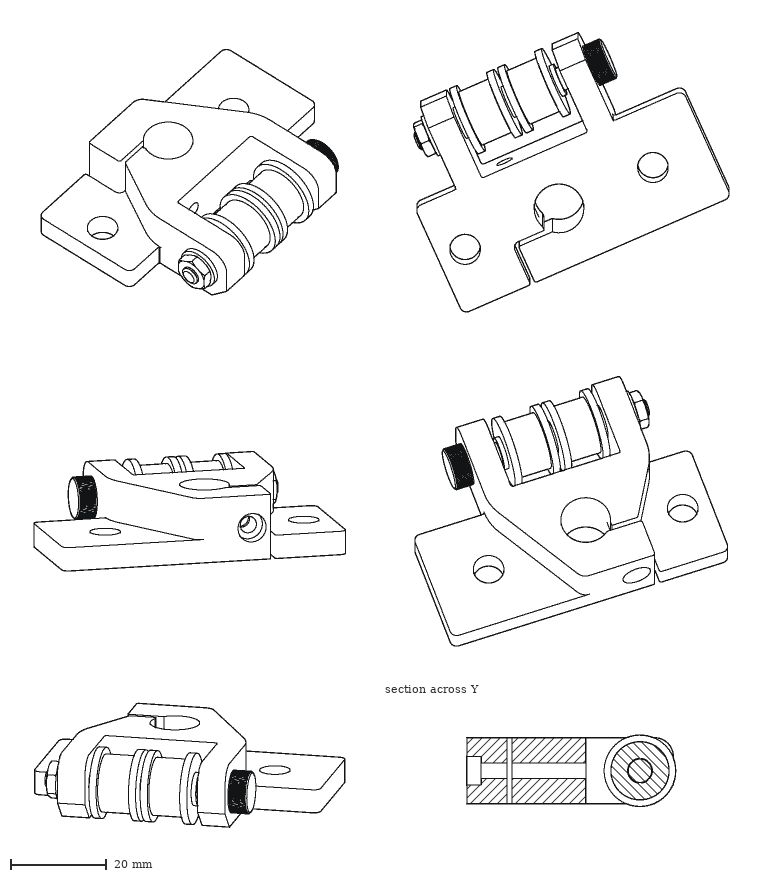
import cadquery as cq
import math


plate_length = 61.5
plate_width = 24.95
plate_thickness = 5.05
plate_corner_radius = 1.5
plate_front_y = -27.55
plate_back_y = plate_front_y + plate_length
mount_hole_diameter = 6.4
mount_hole_spacing = 43.05
edge_radius = 0.5

body_height = 13.9
arm_thickness = 5.9
arm_gap = 24.25
arm_inner_y = arm_gap / 2
arm_outer_y = arm_inner_y + arm_thickness
arm_end_radius = 4.0
taper_angle = math.radians(30)
taper_start_x = 22.5
shoulder_radius = 10.0
taper_slope = math.tan(taper_angle)
left_y = arm_outer_y - taper_start_x * taper_slope
body_corner_radius = 2.5

bore_x = plate_width / 2
bore_diameter = 10.4
slot_width = 1.0
slot_outer_x = 9.5
slot_inner_x = slot_outer_x - slot_width
slot_front_y = -12.05
slot_back_y = slot_front_y + slot_width
slot_corner_y = (taper_start_x - slot_outer_x) * taper_slope - arm_outer_y
slot_tip_y = -4.75
clamp_hole_diameter = 3.5
counterbore_diameter = 6.1
counterbore_depth = 3.0
clamp_hole_y = -6.95

axle_x = 36.3
axle_z = body_height / 2
arm_end_x = axle_x + 7.0
axle_clearance_diameter = 5.1
roller_diameter = 12.25
flange_diameter = 15.0
flange_thickness = 1.55
roller_length = 10.0
spacer_diameter = 7.0
spacer_thickness = 1.0
washer_diameter = 9.0
washer_hole_diameter = 4.3
washer_thickness = 1.0
nut_width = 7.0
nut_thickness = 2.2
nut_chamfer_diameter = 7.15

shank_diameter = 5.0
thread_diameter = 4.0
thread_root_diameter = 3.5
thread_tip_diameter = 2.9
thread_pitch = 0.4
head_diameter = 9.0
head_height = 4.0
head_collar = 0.25
head_chamfer = 0.3
knurl_count = 80
knurl_depth = 0.2

washer_y = -arm_outer_y
nut_y = washer_y - washer_thickness
nut_front_y = nut_y - nut_thickness
thread_crest_y = nut_front_y - thread_pitch
screw_tip_y = thread_crest_y - thread_pitch


def cylinder_y(diameter, start_y, length):
    """Cylinder on the axle that runs from start_y towards -Y."""
    face = cq.Workplane("XZ", origin=(axle_x, start_y, axle_z))
    return face.circle(diameter / 2).extrude(length)


def ring_y(diameter, hole_diameter, start_y, length):
    """Ring on the axle that runs from start_y towards -Y."""
    return cylinder_y(diameter, start_y, length).cut(cylinder_y(hole_diameter, start_y, length))


def corner(x, y):
    """Selector for the upright edge at a plan position."""
    reach = 0.03
    return cq.selectors.BoxSelector(
        (x - reach, y - reach, -body_height), (x + reach, y + reach, 2 * body_height)
    )


def make_plate():
    center_y = (plate_front_y + plate_back_y) / 2
    plate = cq.Workplane("XY").box(plate_width, plate_length, plate_thickness, centered=(True, True, False))
    return plate.translate((plate_width / 2, center_y, 0)).edges("|Z").fillet(plate_corner_radius)


def make_raised_body():
    """Tapered body that spreads from the left edge into two square-ended arms."""
    body = (
        cq.Workplane("XY")
        .moveTo(0, slot_back_y)
        .lineTo(slot_inner_x, slot_back_y)
        .lineTo(slot_outer_x, slot_corner_y)
        .lineTo(taper_start_x, -arm_outer_y)
        .lineTo(arm_end_x, -arm_outer_y)
        .lineTo(arm_end_x, -arm_inner_y)
        .lineTo(plate_width, -arm_inner_y)
        .lineTo(plate_width, arm_inner_y)
        .lineTo(arm_end_x, arm_inner_y)
        .lineTo(arm_end_x, arm_outer_y)
        .lineTo(taper_start_x, arm_outer_y)
        .lineTo(0, left_y)
        .close()
        .extrude(body_height)
    )
    for side in (-1, 1):
        body = body.edges(corner(taper_start_x, side * arm_outer_y)).fillet(shoulder_radius)
        body = body.edges(corner(plate_width, side * arm_inner_y)).fillet(edge_radius)
    body = body.edges(corner(0, left_y)).fillet(body_corner_radius)
    body = body.faces(">X").edges(">Z").fillet(arm_end_radius)
    return body.faces(">X").edges("<Z").chamfer(arm_end_radius)


def corner_web(x, y, first_angle, second_angle, height):
    """Prism between two walls that leave a corner at the given angles and the edge rounding tangent to both.

    Added to a concave corner or cut from a convex one, it rounds that corner.
    """
    half_angle = (second_angle - first_angle) / 2
    bisector = (first_angle + second_angle) / 2

    def point(angle, distance):
        return x + distance * math.cos(angle), y + distance * math.sin(angle)

    tangent_length = edge_radius / math.tan(half_angle)
    arc_distance = edge_radius / math.sin(half_angle) - edge_radius
    return (
        cq.Workplane("XY")
        .moveTo(x, y)
        .lineTo(*point(first_angle, tangent_length))
        .threePointArc(point(bisector, arc_distance), point(second_angle, tangent_length))
        .close()
        .extrude(height)
    )


def make_slot():
    """L-shaped slot from the bore to the left edge, with a rounded bend.

    It widens at slot_tip_y, which blunts the sharp tip between slot and bore.
    """
    slot = (
        cq.Workplane("XY")
        .moveTo(0, slot_front_y)
        .lineTo(slot_outer_x, slot_front_y)
        .lineTo(slot_outer_x, slot_tip_y)
        .lineTo(bore_x, slot_tip_y)
        .lineTo(bore_x, 0)
        .lineTo(slot_inner_x, 0)
        .lineTo(slot_inner_x, slot_back_y)
        .lineTo(0, slot_back_y)
        .close()
        .extrude(body_height)
    )
    slot = slot.edges(corner(slot_inner_x, slot_back_y)).fillet(edge_radius)
    return slot.edges(corner(slot_outer_x, slot_front_y)).fillet(edge_radius + slot_width)


def make_clamp_hole():
    """Counterbored hole that crosses the slot and runs through to the right edge."""
    face = cq.Workplane("YZ", origin=(0, clamp_hole_y, body_height / 2))
    hole = face.circle(clamp_hole_diameter / 2).extrude(plate_width)
    return hole.union(face.circle(counterbore_diameter / 2).extrude(counterbore_depth))


def make_bracket():
    bracket = make_plate().union(make_raised_body())
    quarter = math.pi / 2
    bracket = bracket.union(corner_web(plate_width, arm_outer_y, 0, quarter, plate_thickness))
    bracket = bracket.union(corner_web(plate_width, -arm_outer_y, -quarter, 0, plate_thickness))

    bracket = bracket.cut(make_slot())
    bracket = bracket.cut(corner_web(0, slot_back_y, 0, quarter, body_height))
    bracket = bracket.cut(corner_web(0, slot_front_y, -quarter, 0, plate_thickness))
    taper_web = corner_web(slot_outer_x, slot_corner_y, -taper_angle, quarter, body_height - plate_thickness)
    bracket = bracket.cut(taper_web.translate((0, 0, plate_thickness)))

    bore = cq.Workplane("XY").center(bore_x, 0).circle(bore_diameter / 2).extrude(body_height)
    mount_holes = (
        cq.Workplane("XY")
        .pushPoints([(bore_x, -mount_hole_spacing / 2), (bore_x, mount_hole_spacing / 2)])
        .circle(mount_hole_diameter / 2)
        .extrude(body_height)
    )
    axle_hole = cylinder_y(axle_clearance_diameter, arm_outer_y, 2 * arm_outer_y)
    return bracket.cut(bore).cut(mount_holes).cut(make_clamp_hole()).cut(axle_hole)


def make_roller(start_y):
    """Roller with a flange at each end."""
    roller = ring_y(roller_diameter, axle_clearance_diameter, start_y, roller_length)
    for flange_y in (start_y, start_y - roller_length + flange_thickness):
        roller = roller.union(ring_y(flange_diameter, axle_clearance_diameter, flange_y, flange_thickness))
    return roller


def make_spacer(start_y):
    return ring_y(spacer_diameter, axle_clearance_diameter, start_y, spacer_thickness)


def make_washer():
    return ring_y(washer_diameter, washer_hole_diameter, washer_y, washer_thickness)


def make_nut():
    """Hexagon nut with flats facing +X and -X and both ends chamfered."""
    across_corners = nut_width / math.cos(math.pi / 6)
    hexagon = (
        cq.Workplane("XZ", origin=(axle_x, nut_y, axle_z))
        .transformed(rotate=(0, 0, 90))
        .polygon(6, across_corners)
        .extrude(nut_thickness)
    )
    chamfer = (across_corners - nut_chamfer_diameter) / 2
    chamfer_rise = chamfer * math.tan(math.pi / 6)
    envelope = cylinder_y(across_corners, nut_y, nut_thickness).edges().chamfer(chamfer_rise, chamfer)
    return hexagon.intersect(envelope).cut(cylinder_y(thread_diameter, nut_y, nut_thickness))


def make_knurled_head():
    """Cylindrical head with a straight knurl between two plain rims."""
    head = cylinder_y(head_diameter, arm_outer_y + head_height, head_height)
    head = head.faces(">Y").chamfer(head_chamfer)

    crest_radius = head_diameter / 2
    root_radius = crest_radius - knurl_depth
    outline = []
    for step in range(2 * knurl_count):
        angle = math.pi * step / knurl_count
        radius = crest_radius if step % 2 == 0 else root_radius
        outline.append((radius * math.cos(angle), radius * math.sin(angle)))

    knurl_y = arm_outer_y + head_height - head_chamfer
    knurl_length = head_height - head_chamfer - head_collar
    knurl = cq.Workplane("XZ", origin=(axle_x, knurl_y, axle_z)).polyline(outline).close().extrude(knurl_length)
    blank = cylinder_y(head_diameter, knurl_y, knurl_length)
    return head.cut(blank).union(knurl)


def make_screw():
    """Shoulder screw: knurled head, plain shank through both arms, threaded end."""
    root_y = nut_front_y - thread_pitch / 2
    stem = (
        cq.Workplane("XY")
        .moveTo(0, arm_outer_y)
        .lineTo(shank_diameter / 2, arm_outer_y)
        .lineTo(shank_diameter / 2, washer_y)
        .lineTo(thread_diameter / 2, washer_y)
        .lineTo(thread_diameter / 2, nut_front_y)
        .lineTo(thread_root_diameter / 2, root_y)
        .lineTo(thread_diameter / 2, thread_crest_y)
        .lineTo(thread_tip_diameter / 2, screw_tip_y)
        .lineTo(0, screw_tip_y)
        .close()
        .revolve(360, (0, 0, 0), (0, 1, 0))
        .translate((axle_x, 0, axle_z))
    )
    return make_knurled_head().union(stem)


stack_pitch = spacer_thickness + roller_length
spacers = []
for position in range(3):
    spacers.append(make_spacer(-arm_inner_y + spacer_thickness + position * stack_pitch))
rollers = []
for position in range(2):
    rollers.append(make_roller(-arm_inner_y + (position + 1) * stack_pitch))

bracket = make_bracket()
screw = make_screw()
washer = make_washer()
nut = make_nut()

result = cq.Compound.makeCompound(
    [bracket.val(), screw.val(), washer.val(), nut.val()]
    + [spacer.val() for spacer in spacers]
    + [roller.val() for roller in rollers]
)